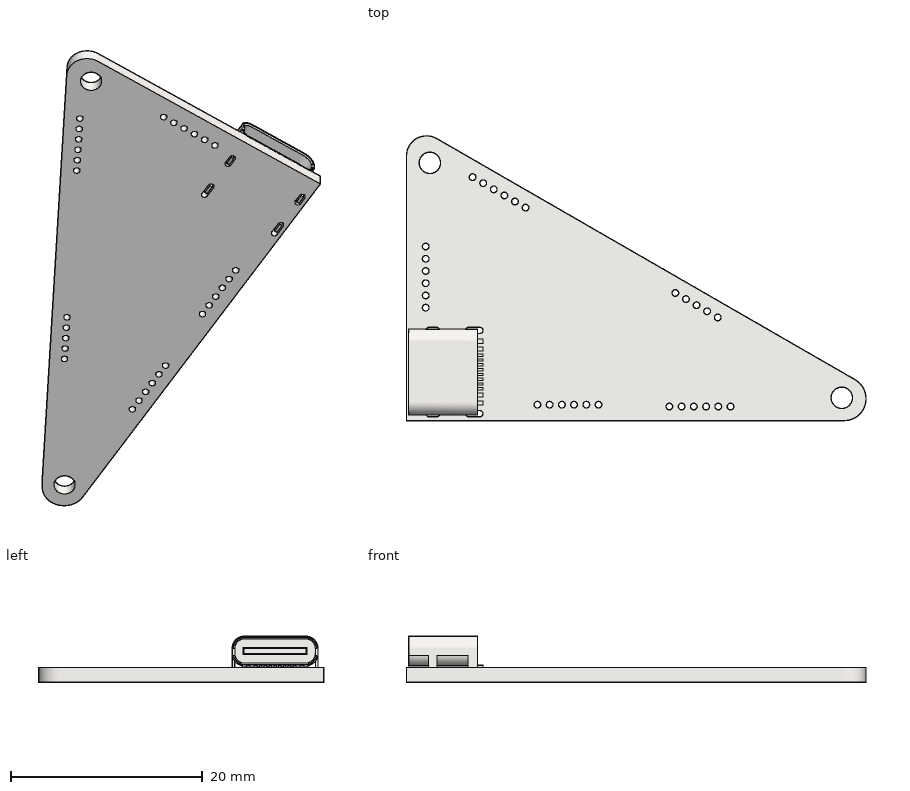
import cadquery as cq
import math

BOARD_LENGTH = 47.9
BOARD_WIDTH = 29.7
BOARD_THICKNESS = 1.6
TOP_CORNER_RADIUS = 2.1
RIGHT_CORNER_RADIUS = 2.3
MOUNT_HOLE_DIAMETER = 2.2
MOUNT_HOLE_CENTRES = [(2.45, 26.85), (45.35, 2.4)]

PIN_HOLE_DIAMETER = 0.65
SIX_HOLE_ROW_LENGTH = 6.35
PIN_HOLE_PITCH = SIX_HOLE_ROW_LENGTH / (6 - 1)
LEFT_ROW_START = (2.0, 11.8)
UPPER_ROW_START = (6.9, 25.4)
LOWER_ROW_START = (28.0, 13.3)
BOTTOM_LEFT_ROW_START = (13.65, 1.7)
BOTTOM_RIGHT_ROW_START = (27.4, 1.5)

TOTAL_HEIGHT = 4.85
SHELL_FRONT_X = 0.25
SHELL_LENGTH = 7.2
SHELL_WIDTH = 8.95
SHELL_CENTRE_Y = 5.1
SHELL_CLEARANCE = 0.15
SHELL_WALL = 0.3
SHELL_CORNER_RADIUS = 1.3
CAVITY_DEPTH = 6.25
MOUTH_CHAMFER = 0.15
SHELL_BACK_X = SHELL_FRONT_X + SHELL_LENGTH
SHELL_BOTTOM_Z = BOARD_THICKNESS + SHELL_CLEARANCE
SHELL_HEIGHT = TOTAL_HEIGHT - SHELL_BOTTOM_Z
SHELL_CENTRE_Z = SHELL_BOTTOM_Z + SHELL_HEIGHT / 2

TONGUE_WIDTH = 6.7
TONGUE_THICKNESS = 0.75
TONGUE_SETBACK = 0.7
TONGUE_TIP_CHAMFER = 0.15

LEG_TOP_Z = BOARD_THICKNESS + 1.25
FRONT_LEG_START = 2.3
FRONT_LEG_LENGTH = 0.9
REAR_LEG_LENGTH = 1.0
SLOT_WIDTH = 0.6
SLOT_SPACING = 8.65
FRONT_SLOT_LENGTH = 1.45
REAR_SLOT_LENGTH = 1.8
REAR_SLOT_SHIFT = 0.15
FRONT_LEG_CENTRE_X = FRONT_LEG_START + FRONT_LEG_LENGTH / 2
REAR_LEG_CENTRE_X = SHELL_BACK_X - REAR_LEG_LENGTH / 2
REAR_SLOT_CENTRE_X = REAR_LEG_CENTRE_X + REAR_SLOT_SHIFT

CONTACT_THICKNESS = 0.25
CONTACT_END_X = 8.0
SIGNAL_CONTACT_COUNT = 8
SIGNAL_CONTACT_SPAN = 3.5
SIGNAL_CONTACT_PITCH = SIGNAL_CONTACT_SPAN / (SIGNAL_CONTACT_COUNT - 1)
SIGNAL_CONTACT_WIDTH = 0.25
POWER_CONTACT_WIDTH = 0.45
POWER_CONTACT_OFFSETS = (2.4, 3.2)


def long_side_angle():
    """Direction of the long side, in radians, as the common tangent of the two corner arcs."""
    run = BOARD_LENGTH - RIGHT_CORNER_RADIUS - TOP_CORNER_RADIUS
    rise = RIGHT_CORNER_RADIUS + TOP_CORNER_RADIUS - BOARD_WIDTH
    radius_turn = math.asin((RIGHT_CORNER_RADIUS - TOP_CORNER_RADIUS) / math.hypot(run, rise))
    return math.atan2(rise, run) + radius_turn


def point_on_arc(centre, radius, angle):
    return (centre[0] + radius * math.cos(angle), centre[1] + radius * math.sin(angle))


def board_outline():
    """Right-angled triangle with two rounded corners; the long side is tangent to both arcs."""
    top_centre = (TOP_CORNER_RADIUS, BOARD_WIDTH - TOP_CORNER_RADIUS)
    right_centre = (BOARD_LENGTH - RIGHT_CORNER_RADIUS, RIGHT_CORNER_RADIUS)
    long_side_normal = long_side_angle() + math.pi / 2
    return (
        cq.Workplane("XY")
        .lineTo(right_centre[0], 0)
        .threePointArc(
            point_on_arc(right_centre, RIGHT_CORNER_RADIUS, 0),
            point_on_arc(right_centre, RIGHT_CORNER_RADIUS, long_side_normal),
        )
        .lineTo(*point_on_arc(top_centre, TOP_CORNER_RADIUS, long_side_normal))
        .threePointArc(
            point_on_arc(top_centre, TOP_CORNER_RADIUS, math.pi / 2),
            point_on_arc(top_centre, TOP_CORNER_RADIUS, math.pi),
        )
        .close()
    )


def hole_row(start, angle, count):
    """Centres of a straight row of small holes, starting at a point and running at an angle."""
    return [point_on_arc(start, i * PIN_HOLE_PITCH, angle) for i in range(count)]


def through_holes(centres, diameter):
    return cq.Workplane("XY").pushPoints(centres).circle(diameter / 2).extrude(BOARD_THICKNESS)


def make_board():
    board = board_outline().extrude(BOARD_THICKNESS)
    board = board.cut(through_holes(MOUNT_HOLE_CENTRES, MOUNT_HOLE_DIAMETER))

    pin_hole_rows = [
        hole_row(LEFT_ROW_START, math.pi / 2, 6),
        hole_row(UPPER_ROW_START, long_side_angle(), 6),
        hole_row(LOWER_ROW_START, long_side_angle(), 5),
        hole_row(BOTTOM_LEFT_ROW_START, 0, 6),
        hole_row(BOTTOM_RIGHT_ROW_START, 0, 6),
    ]
    for row in pin_hole_rows:
        board = board.cut(through_holes(row, PIN_HOLE_DIAMETER))

    for centre_x, length in (
        (FRONT_LEG_CENTRE_X, FRONT_SLOT_LENGTH),
        (REAR_SLOT_CENTRE_X, REAR_SLOT_LENGTH),
    ):
        centres = [(centre_x, SHELL_CENTRE_Y + side * SLOT_SPACING / 2) for side in (-1, 1)]
        slots = cq.Workplane("XY").pushPoints(centres).slot2D(length, SLOT_WIDTH)
        board = board.cut(slots.extrude(BOARD_THICKNESS))
    return board


def x_bar(start_x, length, width, height):
    """Bar along X, centred on the axis of the shell."""
    return (
        cq.Workplane("YZ", origin=(start_x, SHELL_CENTRE_Y, SHELL_CENTRE_Z))
        .rect(width, height)
        .extrude(length)
    )


def make_shell_tube():
    tube = x_bar(SHELL_FRONT_X, SHELL_LENGTH, SHELL_WIDTH, SHELL_HEIGHT)
    tube = tube.edges("|X").fillet(SHELL_CORNER_RADIUS)
    cavity = x_bar(SHELL_FRONT_X, CAVITY_DEPTH, SHELL_WIDTH - 2 * SHELL_WALL, SHELL_HEIGHT - 2 * SHELL_WALL)
    cavity = cavity.edges("|X").fillet(SHELL_CORNER_RADIUS - SHELL_WALL)
    tube = tube.cut(cavity)
    return tube.faces("<X").wires(cq.selectors.LengthNthSelector(0)).chamfer(MOUTH_CHAMFER)


def make_tongue():
    tongue = x_bar(
        SHELL_FRONT_X + TONGUE_SETBACK, CAVITY_DEPTH - TONGUE_SETBACK, TONGUE_WIDTH, TONGUE_THICKNESS
    )
    return tongue.faces("<X").chamfer(TONGUE_TIP_CHAMFER)


def make_side_plate(outer_y, inward):
    """Flat strip along one side of the shell with two legs reaching through the board slots."""
    strip_top = TOTAL_HEIGHT - SHELL_CORNER_RADIUS
    plate_y = min(outer_y, outer_y + inward * SHELL_WALL)

    def block(start_x, length, bottom_z, top_z):
        size = (length, SHELL_WALL, top_z - bottom_z)
        return cq.Workplane("XY").box(*size, centered=False).translate((start_x, plate_y, bottom_z))

    strip = block(SHELL_FRONT_X, SHELL_LENGTH, LEG_TOP_Z, strip_top)
    front_leg = block(FRONT_LEG_START, FRONT_LEG_LENGTH, 0, strip_top)
    rear_leg = block(SHELL_BACK_X - REAR_LEG_LENGTH, REAR_LEG_LENGTH, 0, strip_top)
    return strip.union(front_leg).union(rear_leg)


def make_contact(centre_y, width):
    start_x = SHELL_FRONT_X + CAVITY_DEPTH
    return (
        cq.Workplane("XY", origin=(start_x, centre_y, BOARD_THICKNESS))
        .box(CONTACT_END_X - start_x, width, CONTACT_THICKNESS, centered=(False, True, False))
    )


def make_connector():
    connector = make_shell_tube().union(make_tongue())
    for side in (-1, 1):
        outer_y = SHELL_CENTRE_Y + side * SHELL_WIDTH / 2
        connector = connector.union(make_side_plate(outer_y, -side))

    for i in range(SIGNAL_CONTACT_COUNT):
        offset = (i - (SIGNAL_CONTACT_COUNT - 1) / 2) * SIGNAL_CONTACT_PITCH
        connector = connector.union(make_contact(SHELL_CENTRE_Y + offset, SIGNAL_CONTACT_WIDTH))
    for side in (-1, 1):
        for offset in POWER_CONTACT_OFFSETS:
            connector = connector.union(make_contact(SHELL_CENTRE_Y + side * offset, POWER_CONTACT_WIDTH))
    return connector


board = make_board()
connector = make_connector()

result = cq.Compound.makeCompound([board.val(), connector.val()])